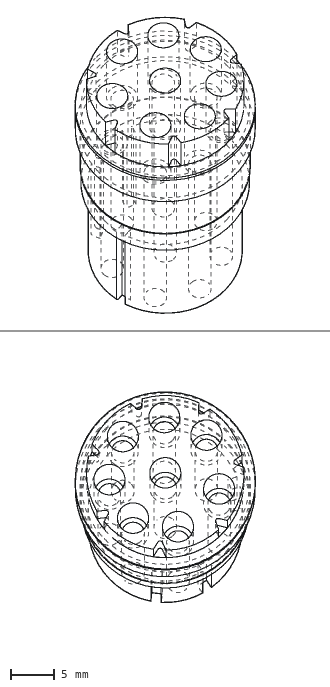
import cadquery as cq
import math

TOTAL_HEIGHT = 33.5
PLUG_TOP = 13.75
SLEEVE_STEP = 17.02
COLLAR_BOTTOM = 24.05
COLLAR_TOP = 28.17

PLUG_DIAMETER = 17.82
LOWER_SLEEVE_DIAMETER = 19.5
UPPER_SLEEVE_DIAMETER = 19.7
COLLAR_DIAMETER = 20.8
HEAD_DIAMETER = 18.2
PLUG_EDGE_FILLET = 0.5

ring_radius = (COLLAR_DIAMETER - HEAD_DIAMETER) / 4
ring_centre_radius = (COLLAR_DIAMETER + HEAD_DIAMETER) / 4
ring_centre_height = COLLAR_TOP + ring_radius

CONTACT_ANGLES = (18.0, 66.0, 114.0, 162.0, 210.0, 270.0, 330.0)
CONTACT_CIRCLE_RADIUS = 6.5
HOLE_DIAMETER = 2.6
HOLE_MOUTH_DIAMETER = 3.6
HOLE_MOUTH_DEPTH = 9.0
HOLE_STEP_HALF_ANGLE = math.radians(59)

NOTCH_COUNT = 7
NOTCH_START_ANGLE = 90.0
NOTCH_DEPTH = 1.07
NOTCH_TIP_RADIUS = 0.3
NOTCH_HALF_ANGLE = math.radians(28)
NOTCH_HEIGHT = 4.5

KEYWAY_ANGLES = (190.0, 230.0, 305.0)
KEYWAY_WIDTH = 1.2
KEYWAY_DEPTH = 1.1

CUT_MARGIN = 0.35


def make_body():
    """Revolve the stepped outline, with the ring resting on the collar."""
    head_radius = HEAD_DIAMETER / 2
    collar_radius = COLLAR_DIAMETER / 2
    ring_diagonal = ring_radius * math.sqrt(0.5)
    body = (
        cq.Workplane("XZ")
        .moveTo(0, 0)
        .lineTo(PLUG_DIAMETER / 2, 0)
        .lineTo(PLUG_DIAMETER / 2, PLUG_TOP)
        .lineTo(LOWER_SLEEVE_DIAMETER / 2, PLUG_TOP)
        .lineTo(LOWER_SLEEVE_DIAMETER / 2, SLEEVE_STEP)
        .lineTo(UPPER_SLEEVE_DIAMETER / 2, SLEEVE_STEP)
        .lineTo(UPPER_SLEEVE_DIAMETER / 2, COLLAR_BOTTOM)
        .lineTo(collar_radius, COLLAR_BOTTOM)
        .lineTo(collar_radius, COLLAR_TOP)
        .lineTo(ring_centre_radius, COLLAR_TOP)
        .threePointArc((ring_centre_radius + ring_diagonal, ring_centre_height + ring_diagonal),
                       (head_radius, ring_centre_height))
        .lineTo(head_radius, TOTAL_HEIGHT)
        .lineTo(0, TOTAL_HEIGHT)
        .close()
        .revolve(360, (0, 0, 0), (0, 1, 0))
    )
    return body.faces("<Z").edges().fillet(PLUG_EDGE_FILLET)


def make_contact_hole():
    """Through hole on the Z axis with a wider mouth and a tapered step between them."""
    step_width = (HOLE_MOUTH_DIAMETER - HOLE_DIAMETER) / 2
    mouth_bottom = TOTAL_HEIGHT - HOLE_MOUTH_DEPTH
    taper_bottom = mouth_bottom - step_width / math.tan(HOLE_STEP_HALF_ANGLE)
    return (
        cq.Workplane("XZ")
        .moveTo(0, 0)
        .lineTo(HOLE_DIAMETER / 2, 0)
        .lineTo(HOLE_DIAMETER / 2, taper_bottom)
        .lineTo(HOLE_MOUTH_DIAMETER / 2, mouth_bottom)
        .lineTo(HOLE_MOUTH_DIAMETER / 2, TOTAL_HEIGHT)
        .lineTo(0, TOTAL_HEIGHT)
        .close()
        .revolve(360, (0, 0, 0), (0, 1, 0))
    )


def make_notch():
    """Rounded V notch opening towards +X, kept inside the head so that it spares the ring."""
    tip = HEAD_DIAMETER / 2 - NOTCH_DEPTH
    tip_centre = tip + NOTCH_TIP_RADIUS
    tangent_x = tip_centre - NOTCH_TIP_RADIUS * math.sin(NOTCH_HALF_ANGLE)
    tangent_y = NOTCH_TIP_RADIUS * math.cos(NOTCH_HALF_ANGLE)
    mouth_x = HEAD_DIAMETER / 2 + CUT_MARGIN
    mouth_y = tangent_y + (mouth_x - tangent_x) * math.tan(NOTCH_HALF_ANGLE)
    notch_floor = cq.Workplane("XY").workplane(offset=TOTAL_HEIGHT - NOTCH_HEIGHT)
    head_zone = notch_floor.circle(HEAD_DIAMETER / 2).extrude(NOTCH_HEIGHT)
    return (
        notch_floor
        .moveTo(mouth_x, mouth_y)
        .lineTo(tangent_x, tangent_y)
        .threePointArc((tip, 0), (tangent_x, -tangent_y))
        .lineTo(mouth_x, -mouth_y)
        .close()
        .extrude(NOTCH_HEIGHT)
        .intersect(head_zone)
    )


def make_keyway():
    """Keyway up the full height of the plug, opening towards +X."""
    length = KEYWAY_DEPTH + CUT_MARGIN
    return (
        cq.Workplane("XY")
        .center(PLUG_DIAMETER / 2 - KEYWAY_DEPTH + length / 2, 0)
        .rect(length, KEYWAY_WIDTH)
        .extrude(PLUG_TOP)
    )


def turned(shape, angle):
    """Turn a shape about the Z axis."""
    return shape.rotate((0, 0, 0), (0, 0, 1), angle)


result = make_body()

contact_hole = make_contact_hole()
notch = make_notch()
keyway = make_keyway()
outer_hole = contact_hole.translate((CONTACT_CIRCLE_RADIUS, 0, 0))

result = result.cut(contact_hole)
for angle in CONTACT_ANGLES:
    result = result.cut(turned(outer_hole, angle))

for index in range(NOTCH_COUNT):
    result = result.cut(turned(notch, NOTCH_START_ANGLE + index * 360 / NOTCH_COUNT))

for angle in KEYWAY_ANGLES:
    result = result.cut(turned(keyway, angle))